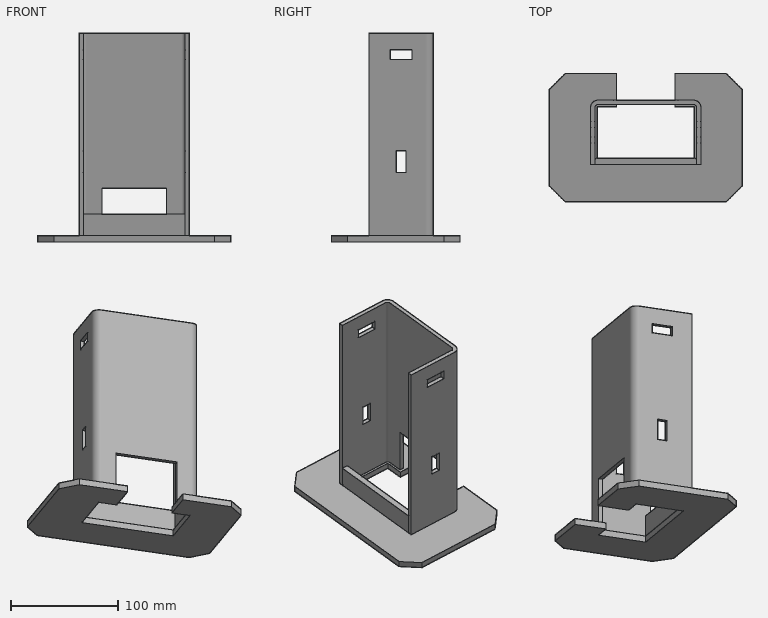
import cadquery as cq

plate_length = 180.0
plate_width = 120.0
plate_thickness = 6.0
corner_chamfer = 15.0
cable_slot_width = 54.5

total_height = 195.0
post_height = total_height - plate_thickness
post_width = 103.0
post_depth = 60.0
wall = 4.0
inner_bend_radius = 3.0
outer_bend_radius = inner_bend_radius + wall
post_back_setback = 25.0

window_width = 60.0
window_height = 44.0

slot_length = 20.0
slot_width = 9.0
upper_slot_drop = 20.0
lower_slot_drop = 120.0

bar_height = 20.0
bar_thickness = 6.0
bar_corner_radius = 2.0

side_ledge = 2.3
back_ledge = 2.1

plate_back = plate_width / 2
post_back = plate_back - post_back_setback
post_front = post_back - post_depth
post_middle = (post_back + post_front) / 2
inner_width = post_width - 2 * wall
opening_width = inner_width - 2 * side_ledge
opening_back = post_back - wall - back_ledge
opening_front = post_front + bar_thickness


def block(width, front, back, bottom, height):
    """Box centred on X = 0, between two Y positions and standing on a Z level."""
    return (
        cq.Workplane("XY", origin=(0, (front + back) / 2, bottom))
        .box(width, back - front, height, centered=(True, True, False))
    )


def make_plate():
    """Chamfered plate with an opening inside the post and a slot to its back edge."""
    plate = block(plate_length, -plate_back, plate_back, 0, plate_thickness)
    plate = plate.edges("|Z").chamfer(corner_chamfer)
    opening = block(opening_width, opening_front, opening_back, 0, plate_thickness)
    cable_slot = block(cable_slot_width, opening_front, plate_back, 0, plate_thickness)
    return plate.cut(opening).cut(cable_slot)


def side_slot(center_z, depth, height):
    """Cutter that passes through both side walls."""
    return block(
        post_width,
        post_middle - depth / 2,
        post_middle + depth / 2,
        center_z - height / 2,
        height,
    )


def make_post():
    """U-shaped post with rounded bends, a back window and two slots per side."""
    outside = block(post_width, post_front, post_back, plate_thickness, post_height)
    outside = outside.edges("|Z and >Y").fillet(outer_bend_radius)
    inside = block(inner_width, post_front, post_back - wall, plate_thickness, post_height)
    inside = inside.edges("|Z and >Y").fillet(inner_bend_radius)
    post = outside.cut(inside)

    window = block(window_width, post_back - wall, post_back, plate_thickness, window_height)
    upper_slot = side_slot(total_height - upper_slot_drop, slot_length, slot_width)
    lower_slot = side_slot(total_height - lower_slot_drop, slot_width, slot_length)
    return post.cut(window).cut(upper_slot).cut(lower_slot)


def make_bar():
    """Flat bar between the side walls, flush with their front edges."""
    bar = block(inner_width, post_front, opening_front, plate_thickness, bar_height)
    return bar.edges("|Z and >Y").fillet(bar_corner_radius)


plate = make_plate()
post = make_post()
bar = make_bar()

result = cq.Compound.makeCompound([plate.val(), post.val(), bar.val()])